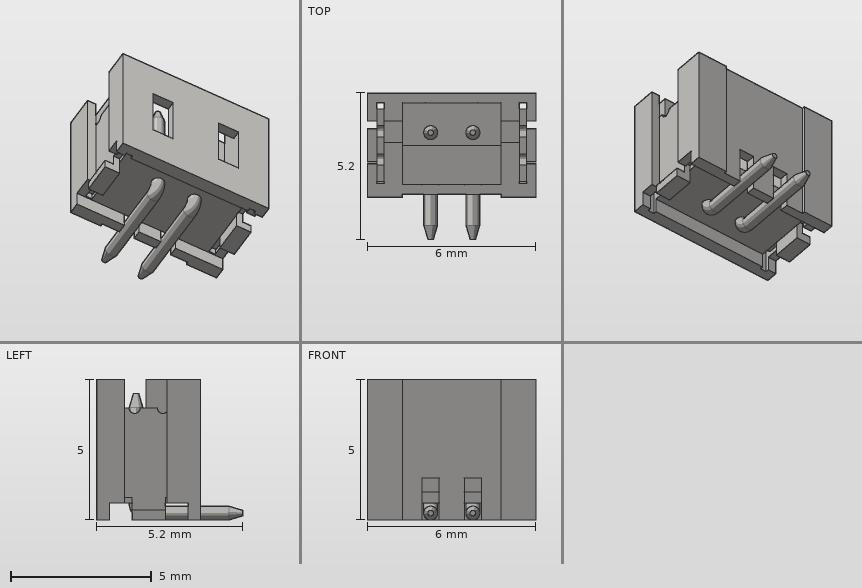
import cadquery as cq
import math


LENGTH = 6.0
DEPTH = 3.7
HEIGHT = 5.0
WALL = 0.35
FRONT_RECESS = 0.1
BACK_INNER_Y = DEPTH - WALL
FRONT_INNER_Y = FRONT_RECESS + WALL

CAVITY_HALF_X = 1.76
FLOOR_BOTTOM_Z = 0.6
FRONT_FLOOR_Z = 1.0
BACK_FLOOR_Z = 1.5
FLOOR_STEP_Y = 1.84

FOOT_GAP_BACK_Y = 3.235
GROOVE_BACK_Y = 2.705
GROOVE_FRONT_Y = 1.95
GROOVE_FLOOR_Z = 2.0
SIDE_GAP_FRONT_Y = 1.2
WINDOW_INNER_X = 0.935
WINDOW_TOP_Z = 3.51
PIN_SLOT_WIDTH = 0.605
PIN_SLOT_HEIGHT = 1.5

PIN_PITCH = 1.5
PIN_DIAMETER = 0.5
PIN_RADIUS = PIN_DIAMETER / 2
PIN_Y = 2.3
PIN_TOP_Z = 4.5
PIN_OVERHANG = 1.5
PIN_TIP_LENGTH = 0.505
PIN_TIP_DIAMETER = 0.2
PIN_BEND_RADIUS = 0.35
PIN_XS = [-PIN_PITCH / 2, PIN_PITCH / 2]

CLIP_THICKNESS = 0.25
CLIP_OUTER_X = LENGTH / 2 - 0.34
CLIP_INNER_X = CLIP_OUTER_X - CLIP_THICKNESS
CLIP_SLOT_FRONT_Y = 0.5
CLIP_CENTRE_Y = 1.85
CLIP_WIDTH = 2.59
CLIP_TOP_Z = 3.99
CLIP_SHOULDER_Z = 0.8
FOOT_WIDTH = 1.19
FOOT_HEIGHT = 0.36
NOTCH_RADIUS = 0.2
NOTCH_SPACING = 1.0

SIDES = [-1, 1]


def block(x_range, y_range, z_range):
    """Box between the given limits, each a pair in either order."""
    spans = [sorted(limits) for limits in (x_range, y_range, z_range)]
    sizes = [high - low for low, high in spans]
    corner = tuple(low for low, high in spans)
    return cq.Workplane("XY").box(*sizes, centered=False).translate(corner)


def make_cavity():
    """Open-topped cavity, deeper in front of the floor step."""
    x_range = (-CAVITY_HALF_X, CAVITY_HALF_X)
    front = block(x_range, (FRONT_INNER_Y, FLOOR_STEP_Y), (FRONT_FLOOR_Z, HEIGHT))
    back = block(x_range, (FLOOR_STEP_Y, BACK_INNER_Y), (BACK_FLOOR_Z, HEIGHT))
    return front.union(back)


def cut_side_openings(body, side):
    """Clip slot, side gap, key groove and back window at one end of the housing."""
    clip_slot = block(
        (side * CLIP_INNER_X, side * CLIP_OUTER_X), (CLIP_SLOT_FRONT_Y, BACK_INNER_Y), (0, HEIGHT)
    )
    side_gap = block(
        (side * CLIP_OUTER_X, side * LENGTH / 2), (SIDE_GAP_FRONT_Y, GROOVE_BACK_Y), (0, HEIGHT)
    )
    key_groove = block(
        (side * CAVITY_HALF_X, side * CLIP_INNER_X),
        (GROOVE_FRONT_Y, GROOVE_BACK_Y),
        (GROOVE_FLOOR_Z, HEIGHT),
    )
    window = block(
        (side * WINDOW_INNER_X, side * CAVITY_HALF_X),
        (BACK_INNER_Y, DEPTH),
        (BACK_FLOOR_Z, WINDOW_TOP_Z),
    )
    return body.cut(clip_slot).cut(side_gap).cut(key_groove).cut(window)


def make_housing():
    half_length = LENGTH / 2
    body = block((-half_length, half_length), (0, DEPTH), (0, HEIGHT))
    body = body.cut(block((-CAVITY_HALF_X, CAVITY_HALF_X), (0, FRONT_RECESS), (0, HEIGHT)))
    body = body.cut(make_cavity())
    body = body.cut(
        block((-half_length, half_length), (FRONT_INNER_Y, FOOT_GAP_BACK_Y), (0, FLOOR_BOTTOM_Z))
    )
    for side in SIDES:
        body = cut_side_openings(body, side)
    for x in PIN_XS:
        slot_x_range = (x - PIN_SLOT_WIDTH / 2, x + PIN_SLOT_WIDTH / 2)
        body = body.cut(block(slot_x_range, (FRONT_RECESS, FRONT_INNER_Y), (0, PIN_SLOT_HEIGHT)))
        pin_hole = cq.Workplane("XY").center(x, PIN_Y).circle(PIN_RADIUS).extrude(HEIGHT)
        body = body.cut(pin_hole)
    return body


def make_pin(x):
    """Round wire bent from the upright leg into a forward tail, tapered at both ends."""
    tail_end_y = -PIN_OVERHANG + PIN_TIP_LENGTH
    upright_end_z = PIN_TOP_Z - PIN_TIP_LENGTH
    bend_offset = PIN_BEND_RADIUS * (1 - math.sqrt(0.5))
    path = (
        cq.Workplane("YZ", origin=(x, 0, 0))
        .moveTo(tail_end_y, PIN_RADIUS)
        .lineTo(PIN_Y - PIN_BEND_RADIUS, PIN_RADIUS)
        .threePointArc(
            (PIN_Y - bend_offset, PIN_RADIUS + bend_offset),
            (PIN_Y, PIN_RADIUS + PIN_BEND_RADIUS),
        )
        .lineTo(PIN_Y, upright_end_z)
    )
    wire = cq.Workplane("XZ", origin=(x, tail_end_y, PIN_RADIUS)).circle(PIN_RADIUS).sweep(path)
    tip_radius = PIN_TIP_DIAMETER / 2
    tips = [
        cq.Solid.makeCone(PIN_RADIUS, tip_radius, PIN_TIP_LENGTH, cq.Vector(*base), cq.Vector(*direction))
        for base, direction in [
            ((x, PIN_Y, upright_end_z), (0, 0, 1)),
            ((x, tail_end_y, PIN_RADIUS), (0, -1, 0)),
        ]
    ]
    return wire.union(cq.Workplane(tips[0])).union(cq.Workplane(tips[1]))


def make_clip(side):
    """Upright plate with two half-round notches on top and a solder foot turned outward."""
    plate_x_range = (side * CLIP_INNER_X, side * CLIP_OUTER_X)
    plate_y_range = (CLIP_CENTRE_Y - CLIP_WIDTH / 2, CLIP_CENTRE_Y + CLIP_WIDTH / 2)
    foot_y_range = (CLIP_CENTRE_Y - FOOT_WIDTH / 2, CLIP_CENTRE_Y + FOOT_WIDTH / 2)
    plate = block(plate_x_range, plate_y_range, (CLIP_SHOULDER_Z, CLIP_TOP_Z))
    leg = block(plate_x_range, foot_y_range, (0, CLIP_SHOULDER_Z))
    foot = block((side * CLIP_OUTER_X, side * LENGTH / 2), foot_y_range, (0, FOOT_HEIGHT))
    notches = (
        cq.Workplane("YZ")
        .pushPoints([(CLIP_CENTRE_Y + s * NOTCH_SPACING / 2, CLIP_TOP_Z) for s in SIDES])
        .circle(NOTCH_RADIUS)
        .extrude(LENGTH / 2, both=True)
    )
    return plate.union(leg).union(foot).cut(notches)


housing = make_housing()
pins = [make_pin(x) for x in PIN_XS]
clips = [make_clip(side) for side in SIDES]

result = cq.Compound.makeCompound(
    [housing.val(), *[pin.val() for pin in pins], *[clip.val() for clip in clips]]
)